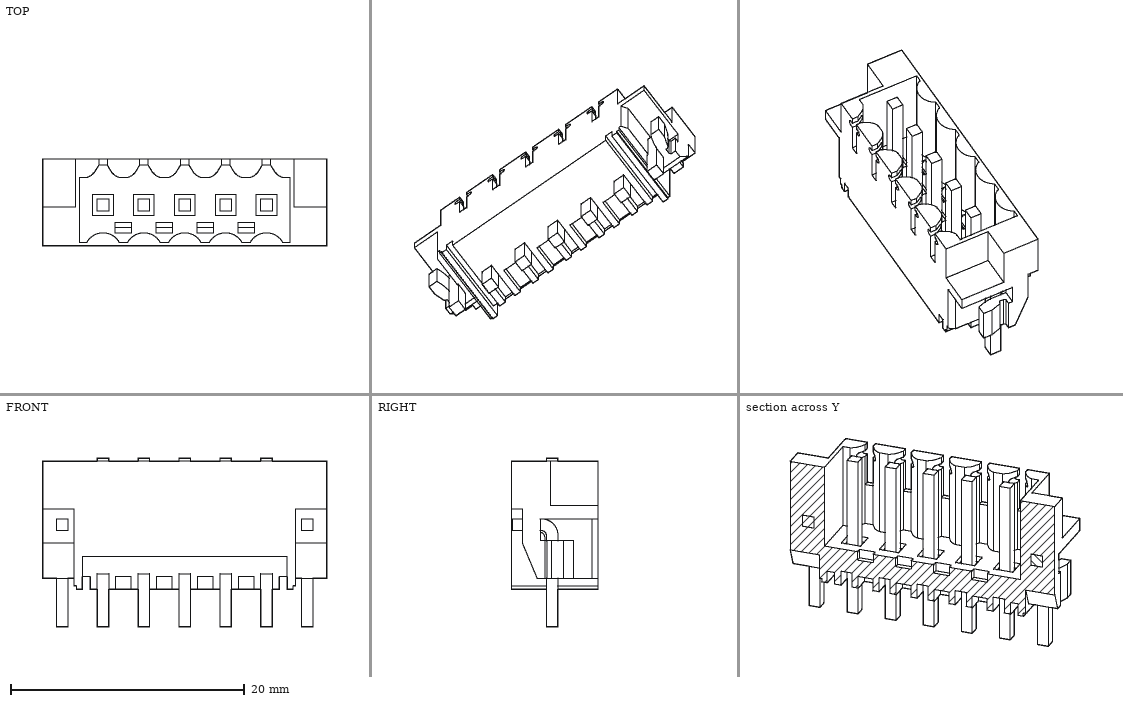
import cadquery as cq
import math


contact_count = 5
pitch = 3.5
pin_width = 1.0
pin_bottom = -3.2
contact_top = 11.25
anchor_x = pitch * (contact_count + 1) / 2
anchor_arm_top = 6.04
anchor_arm_end = -3.4
bend_inner_radius = 0.4
contact_xs = [pitch * (i - (contact_count - 1) / 2) for i in range(contact_count)]
gap_xs = [(a + b) / 2 for a, b in zip(contact_xs, contact_xs[1:])]

half_length = 24.35 / 2
front = -3.5
back = 3.95
height = 11.0

end_bottom = 0.95
foot_x = 9.5
foot_step_width = 0.22
foot_step_height = 0.31
flange_top = 7.2
flange_front = -0.15
flange_inner_x = 9.375
anchor_recess_top = 6.9
anchor_recess_y = -2.54
slope_top = 3.96
slope_end_y = -1.28

pocket_top = anchor_arm_top
pocket_front = -1.0
pocket_floor_x = 10.1
pocket_chamfer_length = 0.54
pocket_chamfer_depth = 0.38
guide_top = 4.18
guide_back = 1.81
guide_thickness = 0.84
guide_inner_bulge = 0.06
guide_flat_end = 0.98
guide_round_x = 11.9
guide_round_y = 0.14
groove_back = -0.04
groove_floor_x = 11.6
groove_front = -0.46
groove_mouth_x = 11.72
groove_mouth_front = -0.62
support_root = 0.3
support_radius = 0.5

cavity_half_length = 9.0
cavity_front = -3.22
cavity_back = 2.375
cavity_floor = 3.5
seat_width = 1.77
seat_depth = 0.5
key_radius = 1.59
key_crest_y = -2.375
post_half_flat = 0.4
post_kink_offset = 0.73
post_kink_y = 2.82
post_radius = 1.33
wall_slot_width = 0.73
wall_slot_y = 3.42
wall_slot_bottom = flange_top
cross_hole_length = 1.75
cross_hole_height = 0.53
cross_hole_z = 10.155
lock_slot_length = 1.41
lock_slot_back = -1.5
lock_slot_front = -1.94
lock_lead_in = 0.44
lock_slot_depth = 0.8

skirt_top = 2.8
skirt_depth = 0.6
skirt_half_length = 8.77
rib_half_length = 8.11
gap_notch_width = 1.33
gap_notch_top = 1.1
contact_notch_top = 1.33


def block(x0, x1, y0, y1, z0, z1):
    """Box between two opposite corners."""
    return cq.Workplane("XY").box(x1 - x0, y1 - y0, z1 - z0, centered=False).translate((x0, y0, z0))


def both_ends(shape):
    """A shape of the -X end together with its mirror image at the +X end."""
    return shape.union(shape.mirror("YZ"))


def contact(x):
    half = pin_width / 2
    return block(x - half, x + half, -half, half, pin_bottom, contact_top)


def anchor_pin(x):
    """Vertical leg bent through a right angle into an arm that points to the front."""
    half = pin_width / 2
    outer_radius = bend_inner_radius + pin_width
    diagonal = math.sqrt(0.5)
    centre_y = half - outer_radius
    centre_z = anchor_arm_top - outer_radius

    def on_bend(radius):
        return (centre_y + radius * diagonal, centre_z + radius * diagonal)

    return (
        cq.Workplane("YZ")
        .moveTo(-half, pin_bottom)
        .lineTo(half, pin_bottom)
        .lineTo(half, centre_z)
        .threePointArc(on_bend(outer_radius), (centre_y, anchor_arm_top))
        .lineTo(anchor_arm_end, anchor_arm_top)
        .lineTo(anchor_arm_end, anchor_arm_top - pin_width)
        .lineTo(centre_y, anchor_arm_top - pin_width)
        .threePointArc(on_bend(bend_inner_radius), (-half, centre_z))
        .close()
        .extrude(pin_width)
        .translate((x - half, 0, 0))
    )


def end_relief():
    """Material taken off the -X end around the flange, the anchor arm and the foot."""
    above_flange = block(-half_length, -flange_inner_x, flange_front, back, flange_top, height)
    below_end = block(-half_length, -foot_x, front, back, 0, end_bottom)
    foot_step = block(-foot_x, -foot_x + foot_step_width, front, back, 0, foot_step_height)
    anchor_recess = (
        cq.Workplane("YZ")
        .polyline([
            (front, end_bottom),
            (slope_end_y, end_bottom),
            (anchor_recess_y, slope_top),
            (anchor_recess_y, anchor_recess_top),
            (front, anchor_recess_top),
        ])
        .close()
        .extrude(half_length - foot_x)
        .translate((-half_length, 0, 0))
    )
    return above_flange.union(below_end).union(foot_step).union(anchor_recess)


def side_pocket():
    """Pocket behind the anchor arm, open to the side, the back and below."""
    return (
        cq.Workplane("XY")
        .workplane(offset=end_bottom)
        .polyline([
            (-half_length, pocket_front),
            (-pocket_floor_x, pocket_front),
            (-pocket_floor_x, back - pocket_chamfer_length),
            (-pocket_floor_x + pocket_chamfer_depth, back),
            (-half_length, back),
        ])
        .close()
        .extrude(pocket_top - end_bottom)
    )


def guide_block():
    """Arm in the side pocket that wraps the face of the anchor leg, with a groove in its outer side."""
    radius_y = guide_round_y - groove_back
    radius_x = guide_round_x - groove_floor_x
    bulge = math.sqrt(0.5)
    round_mid = (-groove_floor_x - radius_x * bulge, groove_back + radius_y * (1 - bulge))
    half_pin = pin_width / 2
    leg_face_x = -anchor_x - half_pin
    arm_inner_x = -half_length + guide_thickness
    inner_mid = ((arm_inner_x + leg_face_x) / 2 + guide_inner_bulge, (guide_back + half_pin) / 2)
    return (
        cq.Workplane("XY")
        .workplane(offset=end_bottom)
        .moveTo(arm_inner_x, guide_back)
        .lineTo(-half_length, guide_back)
        .lineTo(-half_length, guide_flat_end)
        .lineTo(-guide_round_x, guide_round_y)
        .threePointArc(round_mid, (-groove_floor_x, groove_back))
        .lineTo(-groove_floor_x, groove_front)
        .lineTo(-groove_mouth_x, groove_mouth_front)
        .lineTo(-half_length, groove_mouth_front)
        .lineTo(-half_length, pocket_front)
        .lineTo(-pocket_floor_x, pocket_front)
        .lineTo(-pocket_floor_x, -half_pin)
        .lineTo(leg_face_x, -half_pin)
        .lineTo(leg_face_x, half_pin)
        .threePointArc(inner_mid, (arm_inner_x, guide_back))
        .close()
        .extrude(guide_top - end_bottom)
    )


def bend_support():
    """Rib under the anchor bend, rounded on top and rooted in the pocket's front wall."""
    clearance = -pin_width / 2 - groove_mouth_front
    arm_underside = anchor_arm_top - pin_width
    rib = block(
        -anchor_x - pin_width / 2, -pocket_floor_x,
        pocket_front - support_root, groove_mouth_front,
        guide_top, arm_underside - clearance,
    )
    return rib.edges("|X and >Y and >Z").fillet(support_radius)


def cavity():
    """Space for the mating plug: keys along the front wall, posts and slots along the back wall."""
    depth = height - cavity_floor
    space = block(
        -cavity_half_length, cavity_half_length,
        cavity_front, cavity_back,
        cavity_floor, height,
    )
    key_centre_y = key_crest_y - key_radius
    for x in contact_xs:
        key = cq.Workplane("XY").workplane(offset=cavity_floor).center(x, key_centre_y)
        space = space.cut(key.circle(key_radius).extrude(depth))
    for x in contact_xs:
        space = space.union(back_wall_channel(x, depth))
        space = space.union(wall_slot(x))
        space = space.union(cross_hole(x))
        half = seat_width / 2
        space = space.union(
            block(x - half, x + half, -half, half, cavity_floor - seat_depth, cavity_floor)
        )
    for x in gap_xs:
        space = space.union(lock_slot(x))
    return space


def back_wall_channel(x, depth):
    """Recess between two posts: straight flanks at the wall, then the round flanks of the posts."""
    half_slot = wall_slot_width / 2
    mouth = pitch / 2 - post_half_flat
    mouth_right = (x + mouth, cavity_back)
    mouth_left = (x - mouth, cavity_back)
    kink_right = (x + post_kink_offset, post_kink_y)
    kink_left = (x - post_kink_offset, post_kink_y)
    return (
        cq.Workplane("XY")
        .workplane(offset=cavity_floor)
        .moveTo(*mouth_left)
        .lineTo(*mouth_right)
        .radiusArc(kink_right, post_radius)
        .lineTo(x + half_slot, wall_slot_y)
        .lineTo(x - half_slot, wall_slot_y)
        .lineTo(*kink_left)
        .radiusArc(mouth_left, post_radius)
        .close()
        .extrude(depth)
    )


def wall_slot(x):
    half = wall_slot_width / 2
    return block(x - half, x + half, wall_slot_y, back, wall_slot_bottom, height)


def cross_hole(x):
    """Round-ended hole across the wall slot, running through the back wall."""
    return (
        cq.Workplane("XZ", origin=(x, back, cross_hole_z))
        .slot2D(cross_hole_length, cross_hole_height)
        .extrude(back - cavity_back)
    )


def lock_slot(x):
    """Blind slot in the cavity floor with a sloping lead-in at its front edge."""
    bottom = cavity_floor - lock_slot_depth
    return (
        cq.Workplane("YZ")
        .polyline([
            (lock_slot_back, cavity_floor),
            (lock_slot_back, bottom),
            (lock_slot_front, bottom),
            (lock_slot_front, cavity_floor - lock_lead_in),
            (lock_slot_front - lock_lead_in, cavity_floor),
        ])
        .close()
        .extrude(lock_slot_length)
        .translate((x - lock_slot_length / 2, 0, 0))
    )


def underside_relief():
    """Stepped-back skirt at the front, end channels and the notches between its ribs."""
    skirt_y = front + skirt_depth
    contact_front = -pin_width / 2
    relief = block(-skirt_half_length, skirt_half_length, front, skirt_y, 0, skirt_top)
    relief = relief.union(
        both_ends(block(-skirt_half_length, -rib_half_length, front, back, 0, gap_notch_top))
    )
    for x in gap_xs:
        half = gap_notch_width / 2
        relief = relief.union(block(x - half, x + half, skirt_y, contact_front, 0, gap_notch_top))
    for x in contact_xs:
        half = pin_width / 2
        relief = relief.union(block(x - half, x + half, skirt_y, contact_front, 0, contact_notch_top))
    return relief


contacts = [contact(x) for x in contact_xs]
anchor_pins = [anchor_pin(x) for x in (-anchor_x, anchor_x)]

housing = block(-half_length, half_length, front, back, 0, height)
housing = housing.cut(both_ends(end_relief()))
housing = housing.cut(both_ends(side_pocket()))
housing = housing.union(both_ends(guide_block().union(bend_support())))
housing = housing.cut(cavity())
housing = housing.cut(underside_relief())
for pin in contacts + anchor_pins:
    housing = housing.cut(pin)

result = cq.Compound.makeCompound([
    housing.val(),
    *[pin.val() for pin in contacts],
    *[pin.val() for pin in anchor_pins],
])